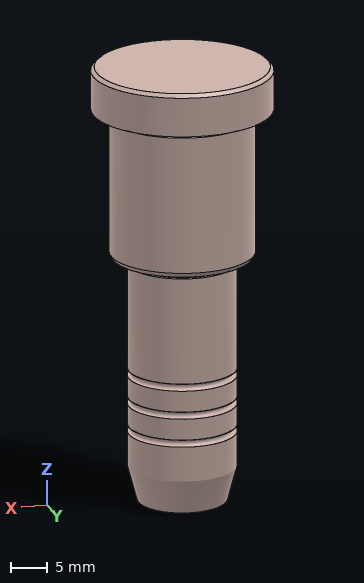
import cadquery as cq
import math

total_length = 62.0
head_height = 6.0
body_length = 20.95
neck_length = 1.0
taper_height = 5.0
head_bottom = total_length - head_height
body_bottom = head_bottom - body_length
shank_top = body_bottom - neck_length

head_radius = 25.0 / 2
body_radius = 20.0 / 2
shank_radius = 15.0 / 2
neck_radius = shank_radius - 0.5
taper_angle = 15.0
tip_radius = shank_radius - taper_height * math.tan(math.radians(taper_angle))

head_chamfer = 0.5
body_chamfer_height = 0.6
body_chamfer_width = 0.3
tip_fillet = 0.5

groove_radius = 0.5
highest_groove_height = 18.5
groove_count = 3
lowest_groove_height = 10.5
groove_spacing = (highest_groove_height - lowest_groove_height) / (groove_count - 1)


def cylinder(radius, bottom, top):
    return cq.Workplane("XY").workplane(offset=bottom).circle(radius).extrude(top - bottom)


def ring_groove(surface_radius, height):
    """Round-bottomed ring cutter centred on a cylindrical surface."""
    return (
        cq.Workplane("XZ")
        .center(surface_radius, height)
        .circle(groove_radius)
        .revolve(360, (-surface_radius, 0), (-surface_radius, 1))
    )


head = cylinder(head_radius, head_bottom, total_length).faces(">Z").chamfer(head_chamfer)

body = (
    cylinder(body_radius, body_bottom, head_bottom)
    .faces("<Z")
    .edges()
    .chamfer(body_chamfer_height, body_chamfer_width)
    .cut(ring_groove(body_radius, head_bottom - groove_radius))
)

neck = cylinder(neck_radius, shank_top, body_bottom)

shank = (
    cq.Workplane("XZ")
    .polyline([
        (0, 0),
        (tip_radius, 0),
        (shank_radius, taper_height),
        (shank_radius, shank_top),
        (0, shank_top),
    ])
    .close()
    .revolve(360, (0, 0), (0, 1))
    .faces("<Z")
    .edges()
    .fillet(tip_fillet)
)
for index in range(groove_count):
    shank = shank.cut(ring_groove(shank_radius, lowest_groove_height + index * groove_spacing))

result = shank.union(neck).union(body).union(head)